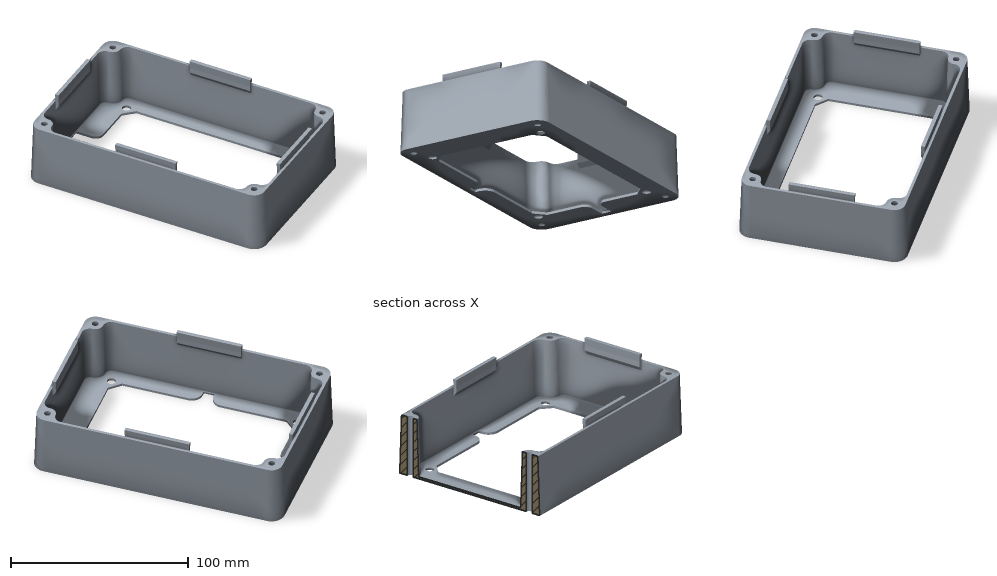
import cadquery as cq
import math

LENGTH = 148.6
WIDTH = 97.8
TOTAL_HEIGHT = 41.2
RIM_HEIGHT = 36.5
DRAFT_ANGLE = 2.0
CORNER_RADIUS = 7.7

RIM_WALL = 1.6
FLOOR_THICKNESS = 1.5
FLOOR_FILLET = 0.6

SCREW_HOLE_DIAMETER = 3.9
SCREW_EDGE_DISTANCE = 7.6
BOSS_RADIUS = 4.8

OPENING_LENGTH = 110.5
OPENING_WIDTH = 72.2
OPENING_CHAMFER_X = 6.4
OPENING_CHAMFER_Y = 6.0
MOUNT_HOLE_DIAMETER = 5.0

NOTCH_WIDTH = 6.5
LEFT_MOUTH_RADIUS = 5.0
FRONT_MOUTH_RADIUS = 6.4

TAB_LENGTH = 38.2
TAB_THICKNESS = 2.0
TAB_ROOT_DEPTH = 3.1
TAB_UNDERSIDE_DROP = 2.7

DRAFT_SLOPE = math.tan(math.radians(DRAFT_ANGLE))
RIM_INSET = RIM_HEIGHT * DRAFT_SLOPE
CAVITY_LENGTH = LENGTH - 2 * (RIM_INSET + RIM_WALL)
CAVITY_WIDTH = WIDTH - 2 * (RIM_INSET + RIM_WALL)
CAVITY_DEPTH = RIM_HEIGHT - FLOOR_THICKNESS
BOSS_BLEND_RADIUS = SCREW_EDGE_DISTANCE - RIM_INSET - RIM_WALL


def make_outer_body():
    """Solid block with rounded corners, drafted inwards towards the rim."""
    outline = cq.Sketch().rect(LENGTH, WIDTH).vertices().fillet(CORNER_RADIUS)
    return cq.Workplane("XY").placeSketch(outline).extrude(RIM_HEIGHT, taper=DRAFT_ANGLE)


def make_cavity():
    """Cavity narrowing towards the floor, with an S-shaped wall around each corner boss."""
    half_length = CAVITY_LENGTH / 2
    half_width = CAVITY_WIDTH / 2
    boss_reach = BOSS_BLEND_RADIUS + BOSS_RADIUS
    blend_end = boss_reach + BOSS_BLEND_RADIUS

    corners = [((1, 1), True), ((-1, 1), False), ((-1, -1), True), ((1, -1), False)]
    outline = cq.Workplane("XY", origin=(0, 0, RIM_HEIGHT)).moveTo(half_length, 0)
    for (x_sign, y_sign), y_wall_first in corners:
        arc_ends = [
            (0, blend_end),
            (BOSS_BLEND_RADIUS, boss_reach),
            (boss_reach, BOSS_BLEND_RADIUS),
            (blend_end, 0),
        ]
        if not y_wall_first:
            arc_ends.reverse()
        points = [(x_sign * (half_length - dx), y_sign * (half_width - dy)) for dx, dy in arc_ends]
        outline = (
            outline.lineTo(*points[0])
            .radiusArc(points[1], -BOSS_BLEND_RADIUS)
            .radiusArc(points[2], BOSS_RADIUS)
            .radiusArc(points[3], -BOSS_BLEND_RADIUS)
        )
    cavity = outline.close().extrude(-CAVITY_DEPTH, taper=DRAFT_ANGLE)
    return cavity.faces("<Z").edges().fillet(FLOOR_FILLET)


def make_notch(reach, mouth_distance, mouth_radius):
    """Slot along -X from the centre to the wall, with a rounded mouth at the opening's edge."""
    half = NOTCH_WIDTH / 2
    return (
        cq.Workplane("XY")
        .moveTo(-reach, -half)
        .lineTo(-mouth_distance - mouth_radius, -half)
        .radiusArc((-mouth_distance, -half - mouth_radius), mouth_radius)
        .lineTo(-mouth_distance, half + mouth_radius)
        .radiusArc((-mouth_distance - mouth_radius, half), mouth_radius)
        .lineTo(-reach, half)
        .close()
        .extrude(FLOOR_THICKNESS)
    )


def make_opening():
    """Chamfered rectangular floor opening with its two cable notches."""
    x_edge = OPENING_LENGTH / 2
    y_edge = OPENING_WIDTH / 2
    x_chamfer = x_edge - OPENING_CHAMFER_X
    y_chamfer = y_edge - OPENING_CHAMFER_Y
    chamfered_corners = [
        (x_edge, -y_chamfer), (x_edge, y_chamfer), (x_chamfer, y_edge), (-x_chamfer, y_edge),
        (-x_edge, y_chamfer), (-x_edge, -y_chamfer), (-x_chamfer, -y_edge), (x_chamfer, -y_edge),
    ]
    opening = (
        cq.Workplane("XY")
        .polyline(chamfered_corners)
        .close()
        .extrude(FLOOR_THICKNESS)
    )
    floor_inset = CAVITY_DEPTH * DRAFT_SLOPE
    left_notch = make_notch(CAVITY_LENGTH / 2 - floor_inset, x_edge, LEFT_MOUTH_RADIUS)
    front_notch = make_notch(CAVITY_WIDTH / 2 - floor_inset, y_edge, FRONT_MOUTH_RADIUS)
    front_notch = front_notch.rotate((0, 0, 0), (0, 0, 1), 90)
    return opening.union(left_notch).union(front_notch)


def make_holes(x_spacing, y_spacing, diameter):
    """Four full-height cylinders on the corners of a rectangle."""
    return (
        cq.Workplane("XY")
        .rect(x_spacing, y_spacing, forConstruction=True)
        .vertices()
        .circle(diameter / 2)
        .extrude(RIM_HEIGHT)
    )


def make_tab(wall_distance):
    """Tab on the +X wall: it flares above the rim, and its root follows the wall to a sloping underside."""
    blade = (
        cq.Workplane("XY", origin=(wall_distance - TAB_THICKNESS / 2, 0, RIM_HEIGHT))
        .rect(TAB_THICKNESS, TAB_LENGTH)
        .extrude(TOTAL_HEIGHT - RIM_HEIGHT, taper=-DRAFT_ANGLE)
    )
    inner_top = wall_distance - TAB_THICKNESS
    root_bottom = TAB_ROOT_DEPTH + TAB_UNDERSIDE_DROP
    root = (
        cq.Workplane("XZ", origin=(0, TAB_LENGTH / 2, RIM_HEIGHT))
        .moveTo(wall_distance, 0)
        .lineTo(inner_top, 0)
        .lineTo(inner_top - TAB_ROOT_DEPTH * DRAFT_SLOPE, -TAB_ROOT_DEPTH)
        .lineTo(wall_distance - root_bottom * DRAFT_SLOPE, -root_bottom)
        .lineTo(wall_distance, -root_bottom)
        .close()
        .extrude(TAB_LENGTH)
    )
    return blade.union(root)


screw_holes = make_holes(
    LENGTH - 2 * SCREW_EDGE_DISTANCE,
    WIDTH - 2 * SCREW_EDGE_DISTANCE,
    SCREW_HOLE_DIAMETER,
)
mount_holes = make_holes(OPENING_LENGTH, OPENING_WIDTH, MOUNT_HOLE_DIAMETER)

result = (
    make_outer_body()
    .cut(make_cavity())
    .cut(make_opening())
    .cut(screw_holes)
    .cut(mount_holes)
)

tab_walls = [(0, CAVITY_LENGTH), (90, CAVITY_WIDTH), (180, CAVITY_LENGTH), (270, CAVITY_WIDTH)]
for angle, span in tab_walls:
    result = result.union(make_tab(span / 2).rotate((0, 0, 0), (0, 0, 1), angle))